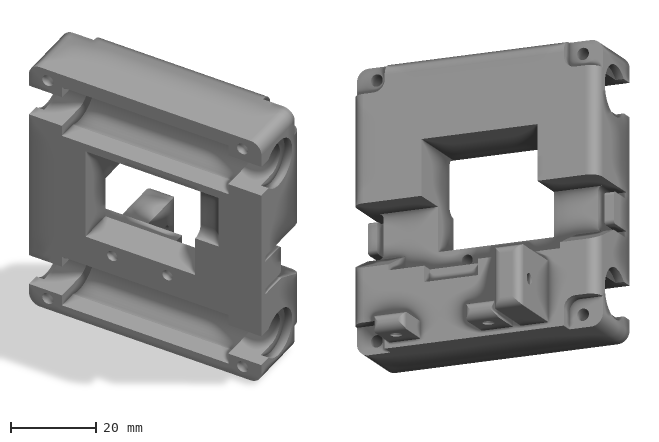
import cadquery as cq

WIDTH = 63.0
HEIGHT = 70.2
BODY_DEPTH = 18.8
CORNER_RADIUS = 3.0
OVERSHOOT = 0.7

ROD_CENTERS_Z = (24.35, -25.35)
ROD_DEPTH = 8.1
ROD_SLOT_WIDTH = 8.4
BAY_BORE_DIAMETER = 15.45
BAY_MOUTH_WIDTH = 14.25
BAY_LENGTH = 45.1
END_RECESS_DIAMETER = 12.65
END_RECESS_DEPTH = 2.1

CORNER_HOLE_DIAMETER = 3.0
CORNER_HOLE_X = 26.4
CORNER_HOLE_Z = 31.95
SMALL_HOLE_DIAMETER = 2.8
BOARD_HOLES_X = (-8.9, 6.05)
BOARD_HOLE_Z = -12.85

SEAT_WIDTH = 8.55
SEAT_HEIGHT = 7.1
SEAT_RADIUS = 2.95
SEAT_FLOOR_Y = 15.5

WINDOW_LEFT, WINDOW_RIGHT = -16.15, 13.55
WINDOW_BOTTOM, WINDOW_TOP = -9.9, 15.1
RECESS_RIGHT = 19.95
RECESS_BOTTOM = 0.85
RECESS_DEPTH = 2.5
RECESS_RADIUS = 2.45

CHANNEL_FLOOR_Y = 9.2
CHANNEL_TOP = 1.2
CHANNEL_BOTTOM = -10.0
SLOPE_END_Z = -14.5

BOARD_POCKET_HALF_WIDTH = 21.9
BOARD_POCKET_BOTTOM = -16.0
RELIEF_SIDE_GAP = 0.9
RELIEF_BOTTOM = -20.0

TIE_GROOVE_FRONT_Y = 2.05
TIE_GROOVE_WIDTH = 1.6
TIE_GROOVE_REACH = 4.0
TIE_GROOVE_RADIUS = 1.1
ISLAND_RADIUS = 0.9

LUG_LEFT, LUG_RIGHT = -19.0, -11.9
LUG_BOTTOM, LUG_TOP = -33.8, -18.8
LUG_BACK_Y = 35.3
LUG_HOLE_Y = 30.05
TAB_CENTERS_X = (-5.9, 17.7)
TAB_WIDTH = 7.9
TAB_THICKNESS = 4.2
TAB_BACK_Y = 28.8
TAB_HOLE_Y = 23.95
TIP_RADIUS = 2.0
TAB_SIDE_RADIUS = 1.4


def block(x_range, y_range, z_range):
    """Box between the given pairs of coordinates."""
    sizes = [high - low for low, high in (x_range, y_range, z_range)]
    corner = (x_range[0], y_range[0], z_range[0])
    return cq.Workplane("XY").box(*sizes, centered=False).translate(corner)


def cylinder(axis, start, diameter, length):
    """Round bar running from start along the given axis direction."""
    bar = cq.Solid.makeCylinder(diameter / 2, length, cq.Vector(*start), cq.Vector(*axis))
    return cq.Workplane(obj=bar)


def body():
    """Block with rounded outline corners and rounded side and top back edges."""
    half_width = WIDTH / 2
    half_height = HEIGHT / 2
    extents = ((-half_width, half_width), (0, BODY_DEPTH), (-half_height, half_height))
    outline = block(*extents).edges("|Y").fillet(CORNER_RADIUS)
    rounded_sides = block(*extents).edges("|Z and >Y").fillet(CORNER_RADIUS)
    rounded_top = block(*extents).edges("|X and >Y and >Z").fillet(CORNER_RADIUS)
    return outline.intersect(rounded_sides).intersect(rounded_top)


def open_channel(length, bore_diameter, mouth_width, center_z):
    """Round-bottomed channel along X, open to the front."""
    half_width = mouth_width / 2
    half_length = length / 2
    bottom = cylinder((1, 0, 0), (-half_length, ROD_DEPTH, center_z), bore_diameter, length)
    throat = block(
        (-half_length, half_length),
        (-OVERSHOOT, ROD_DEPTH),
        (center_z - half_width, center_z + half_width),
    )
    return bottom.union(throat)


def rod_bay(center_z):
    """Rod slot, central bay and the round recesses at both ends."""
    cutter = open_channel(WIDTH + 2 * OVERSHOOT, ROD_SLOT_WIDTH, ROD_SLOT_WIDTH, center_z)
    cutter = cutter.union(open_channel(BAY_LENGTH, BAY_BORE_DIAMETER, BAY_MOUTH_WIDTH, center_z))
    for side in (-1, 1):
        start = (side * (WIDTH / 2 - END_RECESS_DEPTH), ROD_DEPTH, center_z)
        recess = cylinder((side, 0, 0), start, END_RECESS_DIAMETER, END_RECESS_DEPTH + OVERSHOOT)
        cutter = cutter.union(recess)
    return cutter


def front_hole(x, z, diameter):
    """Hole cutter passing through the block from front to back."""
    return cylinder((0, 1, 0), (x, -OVERSHOOT, z), diameter, BODY_DEPTH + 2 * OVERSHOOT)


def corner_seats():
    """Four seats with a rounded inner corner, open to the back and both edges."""
    reach_x = SEAT_WIDTH + SEAT_RADIUS
    reach_z = SEAT_HEIGHT + SEAT_RADIUS
    seats = cq.Workplane("XY")
    for side_x in (-1, 1):
        for side_z in (-1, 1):
            center_x = side_x * (WIDTH / 2 - SEAT_WIDTH + reach_x / 2)
            center_z = side_z * (HEIGHT / 2 - SEAT_HEIGHT + reach_z / 2)
            seat = (
                cq.Workplane("XY")
                .box(reach_x, BODY_DEPTH - SEAT_FLOOR_Y + OVERSHOOT, reach_z, centered=(True, False, True))
                .edges("|Y")
                .fillet(SEAT_RADIUS)
                .translate((center_x, SEAT_FLOOR_Y, center_z))
            )
            seats = seats.add(seat)
    return seats.combine()


def window():
    """Through window and the recess beside it, rounded where its floor meets its walls."""
    opening = block(
        (WINDOW_LEFT, WINDOW_RIGHT),
        (-OVERSHOOT, BODY_DEPTH + OVERSHOOT),
        (WINDOW_BOTTOM, WINDOW_TOP),
    )
    recess = block(
        (WINDOW_RIGHT - OVERSHOOT, RECESS_RIGHT),
        (-OVERSHOOT, RECESS_DEPTH),
        (RECESS_BOTTOM, WINDOW_TOP),
    )
    recess = recess.faces(">Y").edges("|X or >X").fillet(RECESS_RADIUS)
    return opening.union(recess)


def back_channel():
    """Channel across the full width of the back."""
    profile = [
        (CHANNEL_FLOOR_Y, CHANNEL_TOP),
        (BODY_DEPTH, CHANNEL_TOP),
        (BODY_DEPTH, SLOPE_END_Z),
        (CHANNEL_FLOOR_Y, CHANNEL_BOTTOM),
    ]
    return cq.Workplane("YZ").polyline(profile).close().extrude(WIDTH / 2, both=True)


def board_pocket():
    """Pocket below the channel with a deeper relief between the pierced tabs."""
    back = BODY_DEPTH + OVERSHOOT
    pocket = block(
        (-BOARD_POCKET_HALF_WIDTH, BOARD_POCKET_HALF_WIDTH),
        (CHANNEL_FLOOR_Y, back),
        (BOARD_POCKET_BOTTOM, CHANNEL_TOP),
    )
    relief_left = TAB_CENTERS_X[0] + TAB_WIDTH / 2 + RELIEF_SIDE_GAP
    relief_right = TAB_CENTERS_X[1] - TAB_WIDTH / 2 - RELIEF_SIDE_GAP
    relief = block(
        (relief_left, relief_right),
        (SEAT_FLOOR_Y, back),
        (RELIEF_BOTTOM, BOARD_POCKET_BOTTOM + OVERSHOOT),
    )
    return pocket.union(relief)


def tie_groove():
    """U-shaped groove around a rounded island at the -X end of the channel floor."""
    outer_face = -WIDTH / 2
    groove = block(
        (outer_face - OVERSHOOT, outer_face + TIE_GROOVE_REACH),
        (TIE_GROOVE_FRONT_Y, CHANNEL_FLOOR_Y),
        (CHANNEL_BOTTOM, CHANNEL_TOP),
    )
    groove = groove.edges("|Y and >X").fillet(TIE_GROOVE_RADIUS)
    island = block(
        (outer_face - OVERSHOOT, outer_face + TIE_GROOVE_REACH - TIE_GROOVE_WIDTH),
        (TIE_GROOVE_FRONT_Y, CHANNEL_FLOOR_Y),
        (CHANNEL_BOTTOM + TIE_GROOVE_WIDTH, CHANNEL_TOP - TIE_GROOVE_WIDTH),
    )
    island = island.edges("|X and >Y").fillet(ISLAND_RADIUS)
    return groove.cut(island)


def lug():
    """Tall lug with all tip edges rounded and a cross hole along X."""
    solid = block((LUG_LEFT, LUG_RIGHT), (SEAT_FLOOR_Y, LUG_BACK_Y), (LUG_BOTTOM, LUG_TOP))
    solid = solid.faces(">Y").edges().fillet(TIP_RADIUS)
    hole_start = (LUG_LEFT - OVERSHOOT, LUG_HOLE_Y, (LUG_BOTTOM + LUG_TOP) / 2)
    hole_length = LUG_RIGHT - LUG_LEFT + 2 * OVERSHOOT
    return solid.cut(cylinder((1, 0, 0), hole_start, SMALL_HOLE_DIAMETER, hole_length))


def pierced_tab(center_x):
    """Short tab with rounded tip edges and a cross hole along Z."""
    extents = (
        (center_x - TAB_WIDTH / 2, center_x + TAB_WIDTH / 2),
        (SEAT_FLOOR_Y, TAB_BACK_Y),
        (LUG_BOTTOM, LUG_BOTTOM + TAB_THICKNESS),
    )
    rounded_faces = block(*extents).edges("|X and >Y").fillet(TIP_RADIUS)
    rounded_sides = block(*extents).edges("|Z and >Y").fillet(TAB_SIDE_RADIUS)
    solid = rounded_faces.intersect(rounded_sides)
    hole_start = (center_x, TAB_HOLE_Y, LUG_BOTTOM - OVERSHOOT)
    hole_length = TAB_THICKNESS + 2 * OVERSHOOT
    return solid.cut(cylinder((0, 0, 1), hole_start, SMALL_HOLE_DIAMETER, hole_length))


result = body().cut(window()).cut(back_channel()).cut(board_pocket()).cut(corner_seats())

result = result.union(lug())
for tab_x in TAB_CENTERS_X:
    result = result.union(pierced_tab(tab_x))

for rod_z in ROD_CENTERS_Z:
    result = result.cut(rod_bay(rod_z))

for hole_x in (-CORNER_HOLE_X, CORNER_HOLE_X):
    for hole_z in (-CORNER_HOLE_Z, CORNER_HOLE_Z):
        result = result.cut(front_hole(hole_x, hole_z, CORNER_HOLE_DIAMETER))
for hole_x in BOARD_HOLES_X:
    result = result.cut(front_hole(hole_x, BOARD_HOLE_Z, SMALL_HOLE_DIAMETER))

left_tie_groove = tie_groove()
result = result.cut(left_tie_groove).cut(left_tie_groove.mirror("YZ"))